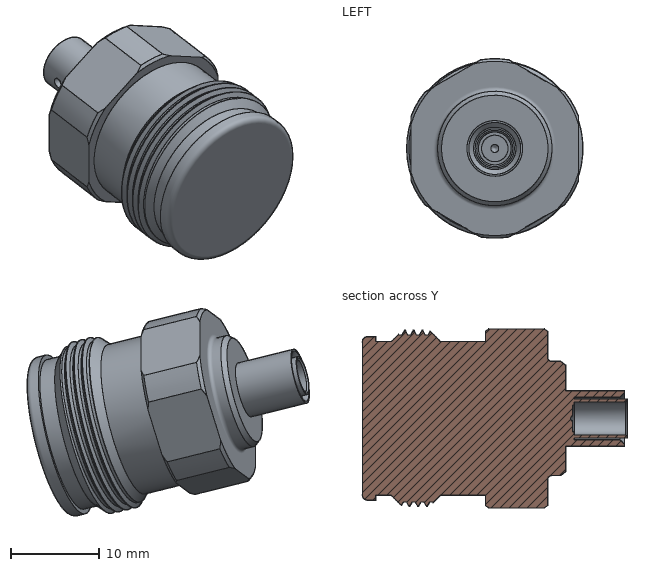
import cadquery as cq
import math

LENGTH = 30.05

TUBE_START = 0.3
TUBE_RADIUS = 3.15
TUBE_MOUTH_RADIUS = 2.95
TUBE_BORE_RADIUS = 2.4
TUBE_LEAD_IN = TUBE_MOUTH_RADIUS - TUBE_BORE_RADIUS
SLEEVE_RADIUS = 2.22
SLEEVE_BORE_RADIUS = 1.85
SLEEVE_CHAMFER = 0.18
SOCKET_DEPTH = 6.0
SOCKET_STEP_RADIUS = 1.5
SOCKET_STEP_DEPTH = 0.15
DIMPLE_RADIUS = 0.45
DIMPLE_DEPTH = 0.27
VENT_X = 2.82
VENT_RADIUS = 0.6
VENT_DRILL_LENGTH = 3.6

COLLAR_START = 6.97
COLLAR_RADIUS = 6.5
COLLAR_CHAMFER_LENGTH = 0.57
COLLAR_CHAMFER_HEIGHT = 0.45
COLLAR_FILLET = 0.45

HEX_START = 9.0
HEX_END = 16.08
HEX_FLATS = 19.02
HEX_CORNER_RADIUS = 10.2
HEX_CHAMFER_HEIGHT = 0.3
HEX_FRONT_CHAMFER_LENGTH = 0.4
HEX_BACK_CHAMFER_LENGTH = 0.33

BODY_RADIUS = 8.75
BAND_START = 21.2
BAND_END = 26.75
FLANGE_START = 28.52
FLANGE_RADIUS = 9.3
FLANGE_ROUND = 0.6

THREAD_PITCH = 1.0
THREAD_CREST_RADIUS = 10.0
THREAD_ROOT_RADIUS = 9.5
THREAD_CREST_WIDTH = 0.1
THREAD_BASE_WIDTH = 0.65
THREAD_OVERLAP = 0.1
TRIM_CLEARANCE = 0.3
THREAD_RUN_OUT = 4 * THREAD_PITCH
THREAD_CREST_X = 23.23


def turned(points):
    """Revolve a closed (x, radius) outline about the X axis."""
    return cq.Workplane("XY").polyline(points).close().revolve(360, (0, 0, 0), (1, 0, 0))


def rod(start, end, radius):
    return cq.Workplane("YZ").workplane(offset=start).circle(radius).extrude(end - start)


def make_band_envelope():
    """Space of the threaded band: 45 degree cones at both ends, clear of the crests between."""
    radius = THREAD_CREST_RADIUS + TRIM_CLEARANCE
    rise = radius - BODY_RADIUS
    return turned([
        (BAND_START, 0),
        (BAND_START, BODY_RADIUS),
        (BAND_START + rise, radius),
        (BAND_END - rise, radius),
        (BAND_END, BODY_RADIUS),
        (BAND_END, 0),
    ])


def make_collar():
    fillet_start = HEX_START - COLLAR_FILLET
    fillet_mid = COLLAR_FILLET * math.sqrt(0.5)
    outline = (
        cq.Workplane("XY")
        .moveTo(COLLAR_START, 0)
        .lineTo(COLLAR_START, COLLAR_RADIUS - COLLAR_CHAMFER_HEIGHT)
        .lineTo(COLLAR_START + COLLAR_CHAMFER_LENGTH, COLLAR_RADIUS)
        .lineTo(fillet_start, COLLAR_RADIUS)
        .threePointArc(
            (fillet_start + fillet_mid, COLLAR_RADIUS + COLLAR_FILLET - fillet_mid),
            (HEX_START, COLLAR_RADIUS + COLLAR_FILLET),
        )
        .lineTo(HEX_START, 0)
        .close()
    )
    return outline.revolve(360, (0, 0, 0), (1, 0, 0))


def make_hexagon():
    corner_diameter = HEX_FLATS / math.cos(math.radians(30))
    prism = (
        cq.Workplane("YZ")
        .workplane(offset=HEX_START)
        .transformed(rotate=(0, 0, 90))
        .polygon(6, corner_diameter)
        .extrude(HEX_END - HEX_START)
    )
    face_radius = HEX_CORNER_RADIUS - HEX_CHAMFER_HEIGHT
    blank = turned([
        (HEX_START, 0),
        (HEX_START, face_radius),
        (HEX_START + HEX_FRONT_CHAMFER_LENGTH, HEX_CORNER_RADIUS),
        (HEX_END - HEX_BACK_CHAMFER_LENGTH, HEX_CORNER_RADIUS),
        (HEX_END, face_radius),
        (HEX_END, 0),
    ])
    return prism.intersect(blank)


def make_threaded_band():
    """Root cylinder with a helical ridge, both trimmed by the cones at the band's ends."""
    inner_radius = THREAD_ROOT_RADIUS - THREAD_OVERLAP
    half_crest = THREAD_CREST_WIDTH / 2
    half_base = THREAD_BASE_WIDTH / 2
    flank_slope = (half_base - half_crest) / (THREAD_CREST_RADIUS - THREAD_ROOT_RADIUS)
    half_inner = half_base + THREAD_OVERLAP * flank_slope
    turns = math.ceil((BAND_END - BAND_START) / THREAD_PITCH) + 1
    path = cq.Wire.makeHelix(THREAD_PITCH, turns * THREAD_PITCH, inner_radius)
    ridge = (
        cq.Workplane("XZ")
        .polyline([
            (inner_radius, -half_inner),
            (THREAD_CREST_RADIUS, -half_crest),
            (THREAD_CREST_RADIUS, half_crest),
            (inner_radius, half_inner),
        ])
        .close()
        .sweep(cq.Workplane(obj=path), isFrenet=True)
    )
    turns_before = math.ceil((THREAD_CREST_X - BAND_START) / THREAD_PITCH)
    first_crest_x = THREAD_CREST_X - turns_before * THREAD_PITCH
    ridge = (
        ridge.rotate((0, 0, 0), (0, 1, 0), 90)
        .rotate((0, 0, 0), (1, 0, 0), 180)
        .translate((first_crest_x, 0, 0))
    )
    root = rod(BAND_START - THREAD_RUN_OUT, BAND_END + THREAD_RUN_OUT, THREAD_ROOT_RADIUS)
    threaded_rod = root.union(ridge)
    return threaded_rod.intersect(make_band_envelope())


def make_socket_cut():
    """Bore of the inner sleeve with its mouth chamfer, floor step and conical dimple."""
    mouth = turned([
        (0, 0),
        (0, SLEEVE_BORE_RADIUS + SLEEVE_CHAMFER),
        (SLEEVE_CHAMFER, SLEEVE_BORE_RADIUS),
        (SOCKET_DEPTH, SLEEVE_BORE_RADIUS),
        (SOCKET_DEPTH, 0),
    ])
    step_floor = SOCKET_DEPTH + SOCKET_STEP_DEPTH
    step = rod(SOCKET_DEPTH, step_floor, SOCKET_STEP_RADIUS)
    dimple = turned([
        (step_floor, 0),
        (step_floor, DIMPLE_RADIUS),
        (step_floor + DIMPLE_DEPTH, 0),
    ])
    return mouth.union(step).union(dimple)


def make_gap_cut():
    """Narrow ring-shaped gap between tube and sleeve, with a conical lead-in."""
    return turned([
        (TUBE_START, SLEEVE_RADIUS),
        (TUBE_START, TUBE_MOUTH_RADIUS),
        (TUBE_START + TUBE_LEAD_IN, TUBE_BORE_RADIUS),
        (SOCKET_DEPTH, TUBE_BORE_RADIUS),
        (SOCKET_DEPTH, SLEEVE_RADIUS),
    ])


def make_vent_cut():
    """Radial hole on the -Y side, through the tube wall only."""
    mid_gap = (TUBE_BORE_RADIUS + SLEEVE_RADIUS) / 2
    drill = (
        cq.Workplane("XZ")
        .center(VENT_X, 0)
        .circle(VENT_RADIUS)
        .extrude(VENT_DRILL_LENGTH)
    )
    return drill.cut(rod(0, SOCKET_DEPTH, mid_gap))


sleeve = rod(0, TUBE_START, SLEEVE_RADIUS)
tube = rod(TUBE_START, COLLAR_START, TUBE_RADIUS)
body = rod(HEX_END, FLANGE_START, BODY_RADIUS)
flange = rod(FLANGE_START, LENGTH, FLANGE_RADIUS).faces(">X").edges().fillet(FLANGE_ROUND)

result = (
    sleeve.union(tube)
    .union(make_collar())
    .union(make_hexagon())
    .union(body)
    .union(flange)
    .union(make_threaded_band())
    .cut(make_gap_cut())
    .cut(make_socket_cut())
    .cut(make_vent_cut())
)